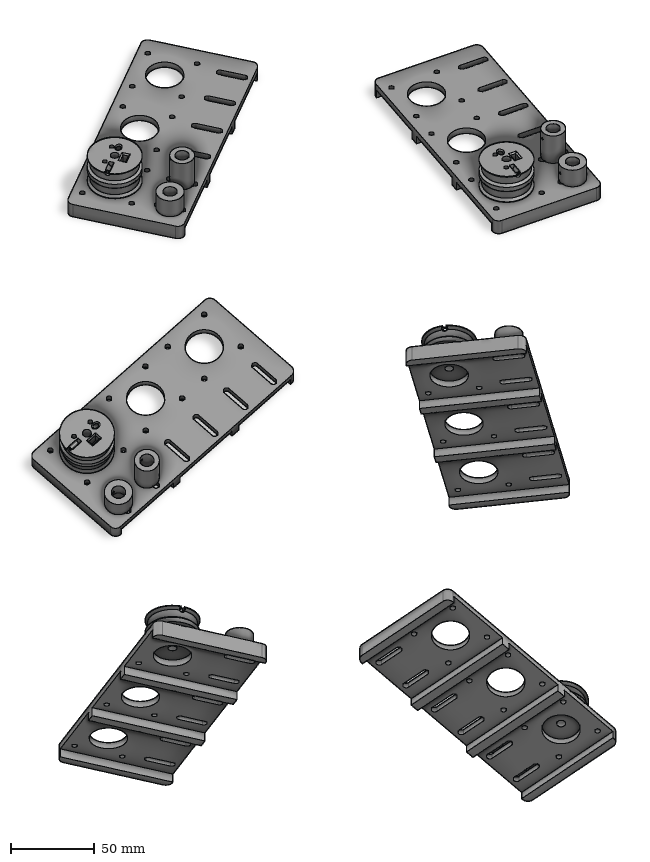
import cadquery as cq
import math

plate_width = 73.3
plate_length = 154.3
plate_height = 10.0
plate_corner_radius = 4.3
web_thickness = 4.3
end_wall_thickness = 5.2
rib_thickness = 5.9

station_pitch = 50.0
station_x = -14.5
station_offsets = [-station_pitch, 0.0, station_pitch]
bore_diameter = 23.0
screw_hole_diameter = 3.2
screw_hole_spacing = 31.0
slot_x = 24.0
slot_length = 19.5
slot_width = 4.0
slot_upper_offset = 12.2
slot_lower_offset = -12.0

total_height = 31.2
spool_gap = 1.0
spool_height = total_height - plate_height - spool_gap
spool_diameter = 33.0
groove_diameter = 30.0
spool_bore_diameter = 5.2
flange_lip = 0.5
flange_slope = (spool_diameter - groove_diameter) / 2
ring_height = 3.1

pilot_hole_diameter = 2.8
pilot_hole_depth = 6.2
pilot_hole_x = -4.0
pilot_hole_y = 7.0
wire_hole_diameter = 3.0
wire_hole_y = 7.5
wire_hole_tilt = 36.0
mouth_taper = 45.0
wire_hole_mouth_width = 4.3
wire_hole_mouth_length = 5.7
wire_hole_mouth_depth = 0.8
pocket_x = 6.0
pocket_width = 3.4
pocket_length = 5.7
pocket_depth = 7.7
pocket_chamfer = 1.0
cavity_width = 3.0
cavity_axis_depth = 0.6
cavity_inner_y = -6.2
cavity_outer_y = -14.0
cavity_end_slope = 1.4
neck_axis_depth = 1.5
neck_diameter = 2.0
neck_flare_diameter = 3.7
neck_flare_y = -14.2

post_bore_diameter = 8.5
post_hole_diameter = 4.0
post_floor_thickness = 4.0
thread_hole_diameter = 1.4
tall_post_diameter = 15.0
tall_post_height = total_height - plate_height
tall_post_thread_hole_z = 15.9
short_post_diameter = 17.0
short_post_height = 12.8
short_post_thread_hole_z = 7.0


def make_plate():
    """Rounded plate with end walls and cross ribs underneath and a row of mounting stations."""
    plate = (
        cq.Workplane("XY")
        .box(plate_width, plate_length, plate_height, centered=(True, True, False))
        .edges("|Z")
        .fillet(plate_corner_radius)
    )

    recess_depth = plate_height - web_thickness
    recess_length = plate_length - 2 * end_wall_thickness
    recess = cq.Workplane("XY").box(plate_width, recess_length, recess_depth, centered=(True, True, False))
    for rib_y in (-station_pitch / 2, station_pitch / 2):
        rib = cq.Workplane("XY").box(plate_width, rib_thickness, recess_depth, centered=(True, True, False))
        recess = recess.cut(rib.translate((0, rib_y, 0)))
    plate = plate.cut(recess)

    for station_y in station_offsets:
        plate = cut_station(plate, station_y)
    return plate


def cut_station(plate, station_y):
    """Cut one large bore, its four screw holes and its two slots through the plate."""
    bore = cq.Workplane("XY").center(station_x, station_y).circle(bore_diameter / 2).extrude(plate_height)
    screw_holes = (
        cq.Workplane("XY")
        .center(station_x, station_y)
        .rect(screw_hole_spacing, screw_hole_spacing, forConstruction=True)
        .vertices()
        .circle(screw_hole_diameter / 2)
        .extrude(plate_height)
    )
    slots = (
        cq.Workplane("XY")
        .pushPoints([(slot_x, station_y + offset) for offset in (slot_lower_offset, slot_upper_offset)])
        .slot2D(slot_length, slot_width)
        .extrude(plate_height)
    )
    return plate.cut(bore).cut(screw_holes).cut(slots)


def make_spool_blank():
    """Revolved spool with two grooves between sloped flanges and a middle ring."""
    outer = spool_diameter / 2
    inner = groove_diameter / 2
    bore = spool_bore_diameter / 2
    middle = spool_height / 2
    half_ring = ring_height / 2
    profile = [
        (bore, 0),
        (outer, 0),
        (outer, flange_lip),
        (inner, flange_lip + flange_slope),
        (inner, middle - half_ring - flange_slope),
        (outer, middle - half_ring),
        (outer, middle + half_ring),
        (inner, middle + half_ring + flange_slope),
        (inner, spool_height - flange_lip - flange_slope),
        (outer, spool_height - flange_lip),
        (outer, spool_height),
        (bore, spool_height),
    ]
    return cq.Workplane("XZ").polyline(profile).close().revolve(360, (0, 0, 0), (0, 1, 0))


def cut_wire_hole(spool):
    """Oblique hole from the top face down to the lower groove, with a flared oval mouth."""
    tilt = math.radians(wire_hole_tilt)
    down = cq.Vector(0, math.sin(tilt), -math.cos(tilt))
    throat = cq.Vector(0, wire_hole_y, spool_height - wire_hole_mouth_depth)
    lead_in = 2 * wire_hole_diameter
    hole = cq.Solid.makeCylinder(
        wire_hole_diameter / 2, lead_in + spool_diameter, throat - down * lead_in, down
    )
    below_throat = (
        cq.Workplane("XY")
        .rect(2 * spool_diameter, 2 * spool_diameter)
        .extrude(spool_height - wire_hole_mouth_depth)
    )
    mouth = (
        cq.Workplane("XY", origin=(0, wire_hole_y, spool_height))
        .ellipse(wire_hole_mouth_width / 2, wire_hole_mouth_length / 2)
        .extrude(-wire_hole_mouth_depth, taper=mouth_taper)
    )
    return spool.cut(cq.Workplane(hole).intersect(below_throat)).cut(mouth)


def cut_pocket(spool):
    """Rectangular nut pocket with a chamfered mouth."""
    mouth_width = pocket_width + 2 * pocket_chamfer
    mouth_length = pocket_length + 2 * pocket_chamfer
    well = (
        cq.Workplane("XY", origin=(pocket_x, 0, spool_height))
        .rect(pocket_width, pocket_length)
        .extrude(-pocket_depth)
    )
    mouth = (
        cq.Workplane("XY", origin=(pocket_x, 0, spool_height))
        .rect(mouth_width, mouth_length)
        .extrude(-pocket_chamfer, taper=mouth_taper)
    )
    return spool.cut(well).cut(mouth)


def cut_knot_cavity(spool):
    """U-shaped cavity open at the top face, with a sloped inner end."""
    radius = cavity_width / 2
    axis_z = spool_height - cavity_axis_depth
    floor_z = axis_z - radius
    section = (
        cq.Workplane("XZ")
        .moveTo(-radius, spool_height)
        .lineTo(-radius, axis_z)
        .threePointArc((0, floor_z), (radius, axis_z))
        .lineTo(radius, spool_height)
        .close()
        .extrude(spool_diameter / 2)
    )
    side_outline = [
        (cavity_inner_y, spool_height),
        (cavity_inner_y - cavity_end_slope, floor_z),
        (cavity_outer_y, floor_z),
        (cavity_outer_y, spool_height),
    ]
    side = cq.Workplane("YZ").polyline(side_outline).close().extrude(radius, both=True)
    return spool.cut(section.intersect(side))


def cut_neck(spool):
    """Hole from the knot cavity out to the rim, flared where it reaches the upper groove."""
    outward = cq.Vector(0, -1, 0)
    axis_z = spool_height - neck_axis_depth
    neck_radius = neck_diameter / 2
    flare_radius = neck_flare_diameter / 2
    flare_length = flare_radius - neck_radius
    flare_end_y = neck_flare_y - flare_length
    neck_start = cq.Vector(0, cavity_outer_y, axis_z)
    neck = cq.Solid.makeCylinder(neck_radius, cavity_outer_y - flare_end_y, neck_start, outward)
    flare_start = cq.Vector(0, neck_flare_y, axis_z)
    flare = cq.Solid.makeCone(neck_radius, flare_radius, flare_length, flare_start, outward)
    exit_start = cq.Vector(0, flare_end_y, axis_z)
    exit_hole = cq.Solid.makeCylinder(flare_radius, spool_diameter / 2, exit_start, outward)
    for cutter in (neck, flare, exit_hole):
        spool = spool.cut(cq.Workplane(cutter))
    return spool


def cut_pilot_holes(spool):
    """Two blind holes in the top face, mirrored about the X axis."""
    pilot_holes = (
        cq.Workplane("XY", origin=(0, 0, spool_height))
        .pushPoints([(pilot_hole_x, pilot_hole_y), (pilot_hole_x, -pilot_hole_y)])
        .circle(pilot_hole_diameter / 2)
        .extrude(-pilot_hole_depth)
    )
    return spool.cut(pilot_holes)


def make_spool():
    spool = make_spool_blank()
    spool = cut_wire_hole(spool)
    spool = cut_pocket(spool)
    spool = cut_knot_cavity(spool)
    spool = cut_neck(spool)
    return cut_pilot_holes(spool)


def make_post(diameter, height, thread_hole_z):
    """Round post with a wide blind bore, a smaller hole in its floor and a thread hole on the -X side."""
    post = (
        cq.Workplane("XY")
        .circle(diameter / 2)
        .extrude(height)
        .faces(">Z")
        .workplane()
        .cboreHole(post_hole_diameter, post_bore_diameter, height - post_floor_thickness)
    )
    thread_hole = (
        cq.Workplane("YZ", origin=(0, 0, thread_hole_z))
        .circle(thread_hole_diameter / 2)
        .extrude(-diameter / 2)
    )
    return post.cut(thread_hole)


def make_tall_post():
    return make_post(tall_post_diameter, tall_post_height, tall_post_thread_hole_z)


def make_short_post():
    """Post whose bore ends in a 90 degree countersink."""
    bore_radius = post_bore_diameter / 2
    hole_radius = post_hole_diameter / 2
    sink_depth = bore_radius - hole_radius
    sink_bottom = cq.Vector(0, 0, post_floor_thickness - sink_depth)
    countersink = cq.Solid.makeCone(hole_radius, bore_radius, sink_depth, sink_bottom)
    post = make_post(short_post_diameter, short_post_height, short_post_thread_hole_z)
    return post.cut(cq.Workplane(countersink))


first_station_y = station_offsets[0]
plate = make_plate()
spool = make_spool().translate((station_x, first_station_y, plate_height + spool_gap))
tall_post = make_tall_post().translate((slot_x, first_station_y + slot_upper_offset, plate_height))
short_post = make_short_post().translate((slot_x, first_station_y + slot_lower_offset, plate_height))

result = cq.Compound.makeCompound([plate.val(), spool.val(), tall_post.val(), short_post.val()])